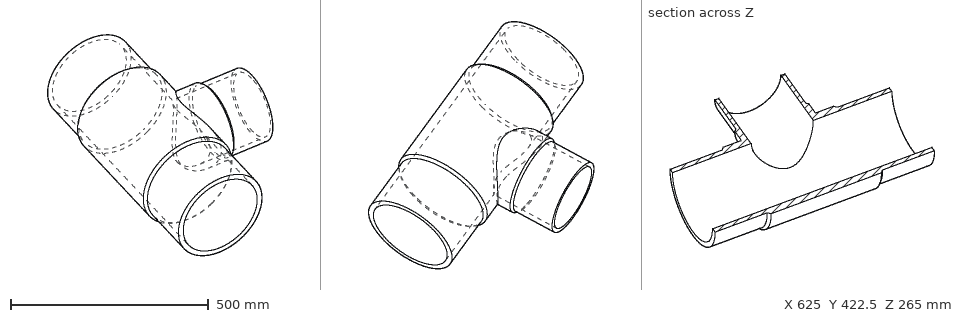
import cadquery as cq

run_length = 625.0
run_outer_diameter = 250.0
run_bore_diameter = 220.5

sleeve_diameter = 265.0
sleeve_length = 329.0
sleeve_chamfer = (sleeve_diameter - run_outer_diameter) / 2

branch_reach = 290.0
branch_outer_diameter = 200.0
branch_bore_diameter = 176.0

collar_diameter = 212.0
collar_reach = 174.5
collar_chamfer = (collar_diameter - branch_outer_diameter) / 2


def run_cylinder(diameter, length):
    """Cylinder along X, centred on the origin."""
    return cq.Workplane("YZ").circle(diameter / 2).extrude(length / 2, both=True)


def branch_cylinder(diameter, reach):
    """Cylinder along +Y, starting on the main axis."""
    return cq.Workplane("XZ").circle(diameter / 2).extrude(-reach)


sleeve = run_cylinder(sleeve_diameter, sleeve_length).faces("<X or >X").chamfer(sleeve_chamfer)
collar = branch_cylinder(collar_diameter, collar_reach).faces(">Y").chamfer(collar_chamfer)
run_pipe = run_cylinder(run_outer_diameter, run_length)
branch_pipe = branch_cylinder(branch_outer_diameter, branch_reach)
body = sleeve.union(run_pipe).union(collar).union(branch_pipe)

run_bore = run_cylinder(run_bore_diameter, run_length)
branch_bore = branch_cylinder(branch_bore_diameter, branch_reach)
result = body.cut(run_bore).cut(branch_bore)